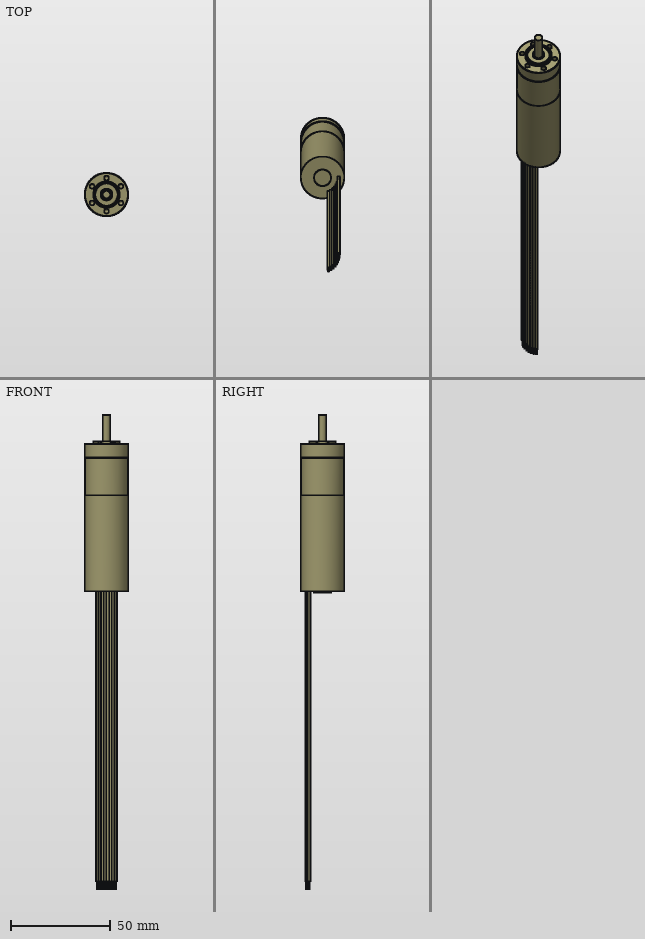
import cadquery as cq
import math

overall_length = 239.5

shaft_diameter = 3.8
shaft_length = 14.5
flange_diameter = 22.0
flange_thickness = 7.0
rim_chamfer = 0.2
tube_diameter = 21.8
tube_bottom_z = -26.0
neck_diameter = 21.5
neck_height = 0.5
motor_diameter = flange_diameter
motor_bottom_z = -74.5
end_boss_diameter = 8.6
end_boss_height = 0.7

boss_diameter = 13.5
boss_height = 1.2
groove_outer_diameter = 12.2
groove_inner_diameter = 11.3
groove_depth = 0.7
recess_mouth_diameter = 6.0
recess_floor_diameter = 5.0
recess_depth = 0.5

hole_count = 6
first_hole_angle = 30
hole_circle_radius = 8.5
hole_diameter = 2.5
hole_depth = 3.5
drill_point_angle = 118

wire_count = 8
wire_arc_middle_angle = -90
wire_arc_radius = 8.1
wire_pitch_angle = 9.9
wire_diameter = 1.4
core_diameter = 0.7
core_length = 4.0
wire_bottom_z = shaft_length - overall_length


def cylinder(diameter, bottom_z, top_z):
    return (
        cq.Workplane("XY")
        .workplane(offset=bottom_z)
        .circle(diameter / 2)
        .extrude(top_z - bottom_z)
    )


def revolve_about_z(profile):
    return cq.Workplane("XZ").polyline(profile).close().revolve(360, (0, 0, 0), (0, 1, 0))


def make_stepped_body():
    """Flange, neck, gearbox tube, motor can and rear boss as one turned profile."""
    flange_r = flange_diameter / 2
    tube_r = tube_diameter / 2
    motor_r = motor_diameter / 2
    end_boss_r = end_boss_diameter / 2
    end_boss_z = motor_bottom_z - end_boss_height
    neck_r = neck_diameter / 2
    neck_bottom_z = -flange_thickness - neck_height
    profile = [
        (0, 0),
        (flange_r - rim_chamfer, 0),
        (flange_r, -rim_chamfer),
        (flange_r, -flange_thickness),
        (neck_r, -flange_thickness),
        (neck_r, neck_bottom_z),
        (tube_r, neck_bottom_z),
        (tube_r, tube_bottom_z),
        (motor_r, tube_bottom_z),
        (motor_r, motor_bottom_z),
        (end_boss_r, motor_bottom_z),
        (end_boss_r, end_boss_z),
        (0, end_boss_z),
    ]
    return revolve_about_z(profile)


def make_pilot_boss():
    """Boss with an annular face groove and a tapered recess around the shaft."""
    boss = cylinder(boss_diameter, 0, boss_height)
    groove_floor = boss_height - groove_depth
    groove = cylinder(groove_outer_diameter, groove_floor, boss_height).cut(
        cylinder(groove_inner_diameter, groove_floor, boss_height)
    )
    recess = (
        cq.Workplane("XY")
        .workplane(offset=boss_height)
        .circle(recess_mouth_diameter / 2)
        .workplane(offset=-recess_depth)
        .circle(recess_floor_diameter / 2)
        .loft()
    )
    return boss.cut(groove).cut(recess)


def make_mounting_hole(angle):
    """Blind hole with a drill point, at one angle of the bolt circle."""
    radius = hole_diameter / 2
    point_depth = radius / math.tan(math.radians(drill_point_angle / 2))
    section = [(0, 0), (radius, 0), (radius, -hole_depth), (0, -hole_depth - point_depth)]
    hole = revolve_about_z(section)
    return hole.translate((hole_circle_radius, 0, 0)).rotate((0, 0, 0), (0, 0, 1), angle)


def make_motor():
    motor = make_stepped_body().union(make_pilot_boss())
    motor = motor.union(cylinder(shaft_diameter, 0, shaft_length))
    for index in range(hole_count):
        motor = motor.cut(make_mounting_hole(first_hole_angle + index * 360 / hole_count))
    return motor


def make_wire(index):
    """Insulated wire with a bare core at its free end."""
    angle = wire_arc_middle_angle + (index - (wire_count - 1) / 2) * wire_pitch_angle
    insulation_bottom_z = wire_bottom_z + core_length
    insulation = cylinder(wire_diameter, insulation_bottom_z, motor_bottom_z)
    core = cylinder(core_diameter, wire_bottom_z, insulation_bottom_z)
    x = wire_arc_radius * math.cos(math.radians(angle))
    y = wire_arc_radius * math.sin(math.radians(angle))
    return insulation.union(core).translate((x, y, 0))


motor = make_motor()
wires = [make_wire(index) for index in range(wire_count)]

result = cq.Compound.makeCompound([motor.val(), *[wire.val() for wire in wires]])